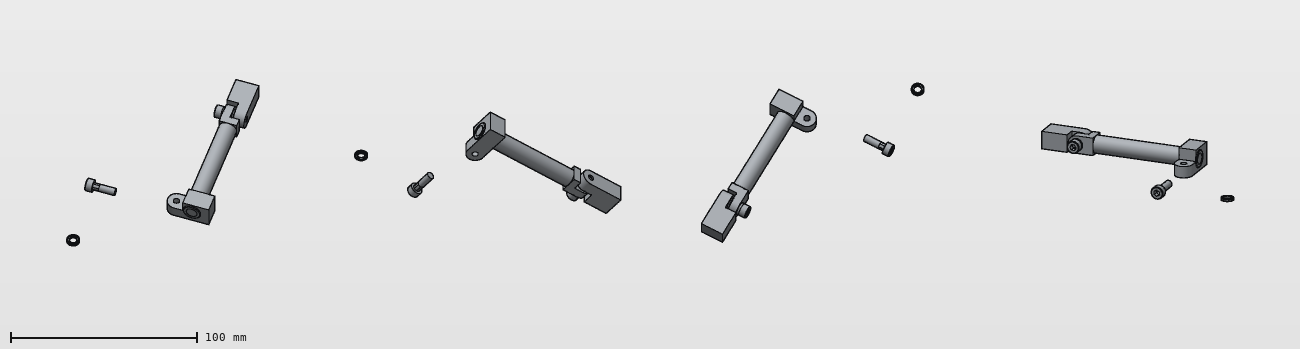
import cadquery as cq
import math

block_width = 13.0
block_depth = 10.0
block_length = 25.0
block_body_length = 14.7
lug_reach = block_length - block_body_length
lug_thickness = block_width / 2
lug_radius = block_depth / 2
lug_hole_diameter = 3.3

rod_diameter = 10.0
rod_exposed_length = 50.0
rod_chamfer = 0.5
end_mark_diameter = 6.0
end_mark_depth = 0.07
hinge_length = 14.5
hinge_root_length = 4.3
hinge_radius = rod_diameter / 2
tab_thickness = 4.7
tab_hole_diameter = 4.3
boss_diameter = 7.0
boss_height = 1.2

head_diameter = 7.0
head_height = 4.0
head_chamfer = 0.4
shank_diameter = 4.1
shank_length = 12.4
socket_across_flats = 3.0
socket_depth = 7.4
loose_screw_x = -59.5

washer_outer_diameter = 7.0
washer_inner_diameter = 4.1
washer_thickness = 1.2
serration_count = 20
serration_width = 0.4
serration_depth = 0.1
serration_inner_radius = 2.8
washer_x = -53.8
washer_front_y = -42.1
washer_bottom_z = -0.07

rod_length = block_depth + rod_exposed_length
hinge_tip_y = rod_length + hinge_length
pivot_y = hinge_tip_y - hinge_radius
tab_left_x = -rod_diameter / 2
tab_right_x = tab_left_x + tab_thickness
boss_left_x = tab_left_x - boss_height
boss_right_x = tab_right_x + boss_height
boss_span = boss_right_x - boss_left_x


def pivot_cylinder(diameter, start_x, length):
    """Cylinder along X on the hinge pivot axis."""
    return cq.Workplane("YZ", origin=(start_x, pivot_y, 0)).circle(diameter / 2).extrude(length)


def make_end_block():
    """Body on +X and lug on -X of the origin; the lug fills the lower half of the width."""
    body = cq.Workplane("XY").box(block_body_length, block_depth, block_width, centered=(False, True, True))
    hole_x = lug_radius - lug_reach
    lug_plane = cq.Workplane("XY", origin=(0, 0, -block_width / 2))
    lug = (
        lug_plane.moveTo(0, -lug_radius)
        .lineTo(hole_x, -lug_radius)
        .threePointArc((-lug_reach, 0), (hole_x, lug_radius))
        .lineTo(0, lug_radius)
        .close()
        .extrude(lug_thickness)
    )
    hole = lug_plane.center(hole_x, 0).circle(lug_hole_diameter / 2).extrude(lug_thickness)
    return body.union(lug).cut(hole)


def make_rod():
    """Rod along +Y, chamfered at the end that sits flush with the front block."""
    rod = cq.Workplane("XZ").circle(rod_diameter / 2).extrude(-rod_length)
    return rod.faces("<Y").chamfer(rod_chamfer)


def make_front_block():
    """End block with its body beside the rod axis and a bore that matches the rod."""
    block = make_end_block().translate((-rod_diameter / 2, block_depth / 2, 0))
    return block.cut(make_rod())


def make_rear_block():
    """End block turned so that its lug hangs beside the hinge tab, against the boss."""
    block = make_end_block().rotate((0, 0, 0), (0, 0, 1), 90).rotate((0, 0, 0), (0, 1, 0), -90)
    block = block.translate((boss_right_x, pivot_y + lug_reach - lug_radius, 0))
    screw_engagement = shank_length - boss_span
    return block.cut(pivot_cylinder(shank_diameter, boss_right_x, screw_engagement))


def make_arm():
    """Rod, square hinge root and rounded tab with a boss on each side."""
    end_mark = cq.Workplane("XZ").circle(end_mark_diameter / 2).extrude(-end_mark_depth)
    root = (
        cq.Workplane("XY", origin=(0, rod_length, 0))
        .box(rod_diameter, hinge_root_length, rod_diameter, centered=(True, False, True))
    )
    tab = (
        cq.Workplane("YZ", origin=(tab_left_x, 0, 0))
        .moveTo(rod_length, -hinge_radius)
        .lineTo(pivot_y, -hinge_radius)
        .threePointArc((hinge_tip_y, 0), (pivot_y, hinge_radius))
        .lineTo(rod_length, hinge_radius)
        .close()
        .extrude(tab_thickness)
    )
    bosses = pivot_cylinder(boss_diameter, boss_left_x, boss_span)
    pivot_hole = pivot_cylinder(tab_hole_diameter, boss_left_x, boss_span)
    return make_rod().cut(end_mark).union(root).union(tab).union(bosses).cut(pivot_hole)


def make_screw():
    """Screw along +X with the outer face of its head at X = 0."""
    head = cq.Workplane("YZ").circle(head_diameter / 2).extrude(head_height)
    head = head.faces("<X").chamfer(head_chamfer)
    shank = cq.Workplane("YZ", origin=(head_height, 0, 0)).circle(shank_diameter / 2).extrude(shank_length)
    socket_across_corners = socket_across_flats / math.cos(math.pi / 6)
    socket = cq.Workplane("YZ").polygon(6, socket_across_corners).extrude(socket_depth)
    return head.union(shank).cut(socket)


def make_washer():
    """Flat ring with radial serrations cut into both faces."""
    outer_radius = washer_outer_diameter / 2
    ring = cq.Workplane("XY").circle(outer_radius).circle(washer_inner_diameter / 2).extrude(washer_thickness)
    slot = (
        cq.Workplane("XY", origin=(serration_inner_radius, 0, 0))
        .box(outer_radius, serration_width, serration_depth, centered=(False, True, False))
    )
    for index in range(serration_count):
        turned_slot = slot.rotate((0, 0, 0), (0, 0, 1), index * 360 / serration_count)
        ring = ring.cut(turned_slot)
        ring = ring.cut(turned_slot.translate((0, 0, washer_thickness - serration_depth)))
    return ring.translate((washer_x, washer_front_y + outer_radius, washer_bottom_z))


front_block = make_front_block()
rear_block = make_rear_block()
arm = make_arm()
washer = make_washer()

screw_placements = [
    ((boss_left_x - head_height, pivot_y, 0), 0),
    ((loose_screw_x, 0, 0), 90),
]
screws = [
    make_screw().rotate((0, 0, 0), (1, 0, 0), turn).translate(position)
    for position, turn in screw_placements
]

result = cq.Compound.makeCompound(
    [front_block.val(), rear_block.val(), arm.val(), washer.val(), *[screw.val() for screw in screws]]
)